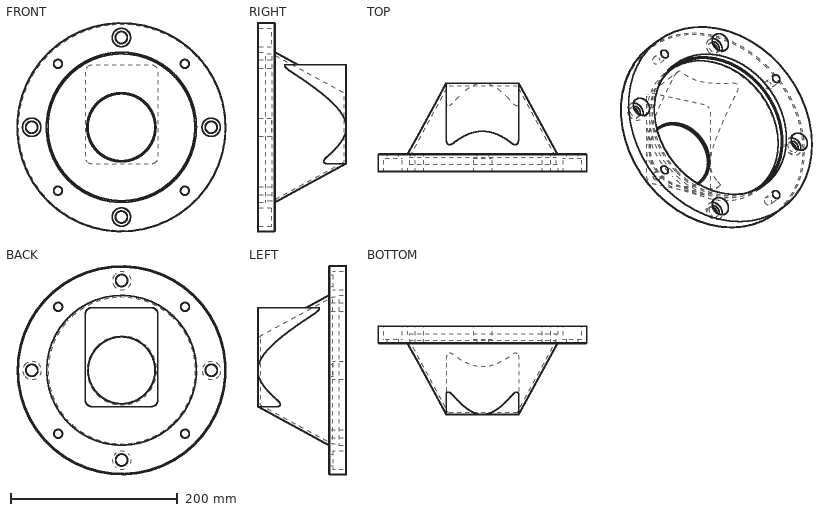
import cadquery as cq

TOTAL_LENGTH = 106.0

FLANGE_RADIUS = 125
FLANGE_THICKNESS = 21.2
FLANGE_CHAMFER = 1.2

CONE_BASE_RADIUS = 89.8
CONE_TIP_RADIUS = 43.5

SEAT_RADIUS = 90
SEAT_DEPTH = 9.0
THROAT_RADIUS = 88.0
THROAT_DEPTH = 17.0
LIP_THICKNESS = 3.0
INNER_TIP_RADIUS = 41.5
OUTLET_RADIUS = 40

BLOCK_HALF_WIDTH = CONE_TIP_RADIUS
BLOCK_TOP = 75
BLOCK_EDGE_RADIUS = 8.0

BOLT_CIRCLE_RADIUS = 107.5
BOLT_HOLE_DIAMETER = 14.0
COUNTERBORE_DIAMETER = 22.0
COUNTERBORE_DEPTH = 16.0
SMALL_HOLE_DIAMETER = 10
HOLE_COUNT = 4


def revolve_about_y(radius_y_points):
    """Turn a closed outline of (radius, y) points about the Y axis."""
    return cq.Workplane("XY").polyline(radius_y_points).close().revolve(360, (0, 0, 0), (0, 1, 0))


def make_shell():
    """Flange and outer cone, solid."""
    return revolve_about_y([
        (0, 0),
        (FLANGE_RADIUS, 0),
        (FLANGE_RADIUS, FLANGE_THICKNESS - FLANGE_CHAMFER),
        (FLANGE_RADIUS - FLANGE_CHAMFER, FLANGE_THICKNESS),
        (CONE_BASE_RADIUS, FLANGE_THICKNESS),
        (CONE_TIP_RADIUS, TOTAL_LENGTH),
        (0, TOTAL_LENGTH),
    ])


def make_bore():
    """Seat, throat, inner cone and outlet, as one cutting body."""
    cone_end = TOTAL_LENGTH - LIP_THICKNESS
    return revolve_about_y([
        (0, 0),
        (SEAT_RADIUS, 0),
        (SEAT_RADIUS, SEAT_DEPTH),
        (THROAT_RADIUS, SEAT_DEPTH),
        (THROAT_RADIUS, THROAT_DEPTH),
        (INNER_TIP_RADIUS, cone_end),
        (OUTLET_RADIUS, cone_end),
        (OUTLET_RADIUS, TOTAL_LENGTH),
        (0, TOTAL_LENGTH),
    ])


def make_block():
    """Block with rounded long edges, reaching from the flange to the far end."""
    block_bottom = -BLOCK_HALF_WIDTH
    return (
        cq.Workplane("XY")
        .box(2 * BLOCK_HALF_WIDTH, TOTAL_LENGTH - FLANGE_THICKNESS, BLOCK_TOP - block_bottom,
             centered=(True, False, False))
        .translate((0, FLANGE_THICKNESS, block_bottom))
        .edges("|Y")
        .fillet(BLOCK_EDGE_RADIUS)
    )


def hole_ring(diameter, depth, start_angle):
    """Equally spaced cylinders on the bolt circle, running from the open face along +Y."""
    return (
        cq.Workplane("XZ")
        .polarArray(BOLT_CIRCLE_RADIUS, start_angle, 360, HOLE_COUNT)
        .circle(diameter / 2)
        .extrude(-depth)
    )


result = (
    make_shell()
    .union(make_block())
    .cut(make_bore())
    .cut(hole_ring(BOLT_HOLE_DIAMETER, FLANGE_THICKNESS, 0))
    .cut(hole_ring(COUNTERBORE_DIAMETER, COUNTERBORE_DEPTH, 0))
    .cut(hole_ring(SMALL_HOLE_DIAMETER, FLANGE_THICKNESS, 180 / HOLE_COUNT))
)